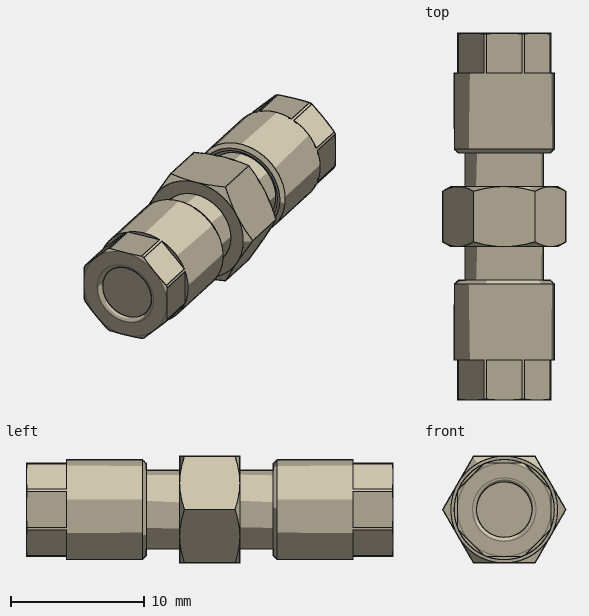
import cadquery as cq

TOTAL_LENGTH = 27.5
HEX_LENGTH = 4.5
NUT_LENGTH = 9.0
OCTAGON_LENGTH = 3.0
SLEEVE_LENGTH = NUT_LENGTH - OCTAGON_LENGTH
NUT_INNER_END = TOTAL_LENGTH / 2 - NUT_LENGTH

HEX_ACROSS_FLATS = 8.0
HEX_CHAMFER_ANGLE = 30.0
NECK_DIAMETER = 5.9

SLEEVE_DIAMETER = 7.5
SLEEVE_CHAMFER = 0.3
OCTAGON_ACROSS_FLATS = 7.0
OCTAGON_CHAMFER_ANGLE = 15.0
COUNTERSINK_DIAMETER = 6.5
COUNTERSINK_DEPTH = (COUNTERSINK_DIAMETER - NECK_DIAMETER) / 2

SOCKET_DIAMETER = 4.15
SOCKET_DEPTH = 0.33
SOCKET_LIP_RADIUS = 0.3


def rod(diameter, start, length):
    """Cylinder on the Y axis, running from start toward +Y."""
    return cq.Workplane("XZ", origin=(0, start, 0)).circle(diameter / 2).extrude(-length)


def prism(sides, across_flats, start, length, turn=0):
    """Regular prism on the Y axis, running from start toward +Y."""
    return (
        cq.Workplane("XZ", origin=(0, start, 0))
        .transformed(rotate=(0, 0, turn))
        .polygon(sides, across_flats, circumscribed=True)
        .extrude(-length)
    )


def cone_limit(face_diameter, face_y, angle, length):
    """Solid that widens from an end face back toward -Y; it trims prism corners when intersected."""
    return (
        cq.Workplane("XZ", origin=(0, face_y, 0))
        .circle(face_diameter / 2)
        .extrude(length, taper=angle - 90)
    )


def hexagon():
    half = HEX_LENGTH / 2
    body = prism(6, HEX_ACROSS_FLATS, -half, HEX_LENGTH, turn=180 / 6)
    limit = cone_limit(HEX_ACROSS_FLATS, half, HEX_CHAMFER_ANGLE, HEX_LENGTH)
    return body.intersect(limit).intersect(limit.mirror("XZ"))


def coupling_nut():
    """Nut on the +Y end: chamfered sleeve, octagonal drive, neck countersink and end socket."""
    sleeve = rod(SLEEVE_DIAMETER, NUT_INNER_END, SLEEVE_LENGTH).faces("<Y").edges().chamfer(SLEEVE_CHAMFER)
    octagon_start = NUT_INNER_END + SLEEVE_LENGTH
    octagon = prism(8, OCTAGON_ACROSS_FLATS, octagon_start, OCTAGON_LENGTH).intersect(
        rod(SLEEVE_DIAMETER, octagon_start, OCTAGON_LENGTH)
    )
    octagon = octagon.intersect(
        cone_limit(OCTAGON_ACROSS_FLATS, TOTAL_LENGTH / 2, OCTAGON_CHAMFER_ANGLE, OCTAGON_LENGTH)
    )
    socket = rod(SOCKET_DIAMETER, TOTAL_LENGTH / 2 - SOCKET_DEPTH, SOCKET_DEPTH)
    countersink = (
        cq.Workplane("XZ", origin=(0, NUT_INNER_END, 0))
        .circle(COUNTERSINK_DIAMETER / 2)
        .workplane(offset=-COUNTERSINK_DEPTH)
        .circle(NECK_DIAMETER / 2)
        .loft()
    )
    body = sleeve.union(octagon).cut(countersink).cut(socket)
    return body.faces(">Y").edges(cq.selectors.RadiusNthSelector(0)).fillet(SOCKET_LIP_RADIUS)


neck_half_length = NUT_INNER_END + COUNTERSINK_DEPTH
neck = rod(NECK_DIAMETER, -neck_half_length, 2 * neck_half_length)
nut = coupling_nut()
result = neck.union(hexagon()).union(nut).union(nut.mirror("XZ"))